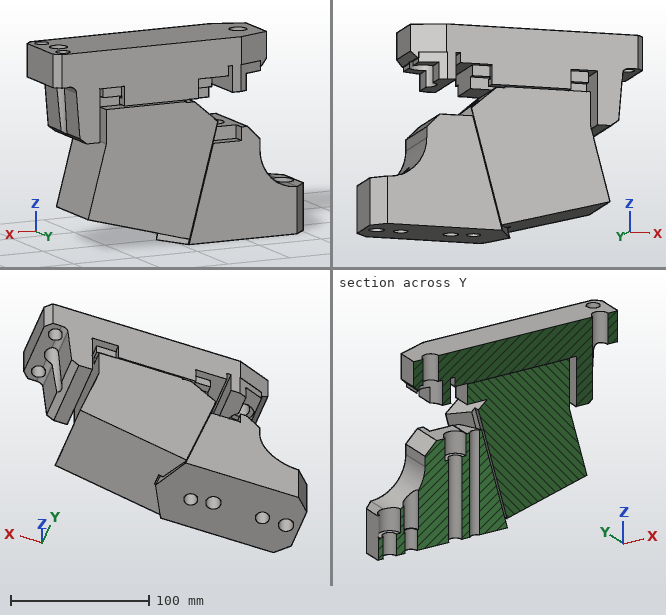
import cadquery as cq
import math

WIDTH = 52.0
TILT = math.radians(15)
SLOPE_FOOT_X = 97.4

VEE_HALF_WIDTH = 25.2
VEE_APEX = 13.1
SLIDE_GAP = 0.5
RELIEF_HALF_WIDTH = 4.3
RELIEF_DEPTH = 14.4

BASE_HEIGHT = 83.2
TOE_HEIGHT = 35.0
TOE_CHAMFER = 10.0
SWEEP_RADIUS = 30.0
SHOULDER_CHAMFER = 10.0
SCREW_HOLE = 11.0
SCREW_HEAD = 17.6
SCREW_HEAD_DEPTH = 17.6
REAR_SCREW_X = 66.2
TAPPED_X = 28.3
TAPPED_DIAMETER = 12.0
TAPPED_CORE = 10.2
TAPPED_END_Z = 16.5
RIDGE_HOLE_X = 82.6
RIDGE_HOLE_Y = -2.9
RIDGE_HOLE = 10.0
RIDGE_DROP = 0.5
NOTCH_FRONT_X = 55.0
NOTCH_SIDE_Y = 17.2
NOTCH_DEPTH = 10.0

SLIDER_TOP = 106.2
SLIDER_NOSE_TOP = 105.4
NOSE_STEP_X = 99.5
NOSE_BOTTOM_Z = 89.2
NOSE_CHAMFER_X = 92.9
SLIDER_FOOT_Z = 3.9
SLIDER_BACK_X = 164.2
SLIDER_LENGTH = 85.0
RAIL_FRONT_X = 76.3
RAIL_STEP_Z = 114.0
NECK_WIDTH = 31.2
HEAD_WIDTH = 41.5

HOLDER_FRONT_X = 30.3
HOLDER_BACK_X = 205.0
HOLDER_TOP = 150.0
UNDERSIDE_Z = 122.0
LIP_Z = 125.3
NOSE_CHAMFER = 5.0
FRONT_STEP_X = 36.0
PRONG_FRONT_X = 50.0
PRONG_BACK_X = 62.3
PRONG_BOTTOM = 109.5
SLOT_BACK_X = 65.5
SLOT_TOP = 129.4
CLAW_FRONT_X = 89.5
CLAW_BACK_X = 149.5
CLAW_BOTTOM = 107.5
CLAW_LEDGE_Z = 112.5
CLAW_NECK_GAP = 34.5
CLAW_HEAD_GAP = 42.2
LEG_FRONT_X = 169.5
LEG_BOTTOM = 82.2
LEG_TOE_X = 180.0
LEG_HEEL_X = 185.5
LEG_HEEL_Z = 86.5
LEG_ROOT_X = 188.8
LEG_FILLET = 5.0
FRONT_HALF_WIDTH = 17.0
TAPER = math.radians(20)
TAPER_RELIEF = 0.15
BACK_CHAMFER = 5.0
FRONT_HOLE_X = 45.0
FRONT_HOLE = 13.0
FRONT_BORE = 20.0
CENTRE_HOLE_X = 190.0
CENTRE_HOLE = 13.0
DOWEL_X = 195.0
DOWEL_Y = 17.5
DOWEL = 10.0


def slope_x(z, gap=0):
    """X at height z of a plane lying a gap in front of the base's sliding face."""
    return SLOPE_FOOT_X + gap / math.cos(TILT) - z * math.tan(TILT)


def block(x0, x1, width, z0, z1):
    """Box centred on y = 0."""
    return cq.Workplane("XY").box(x1 - x0, width, z1 - z0, centered=(False, True, False)).translate((x0, 0, z0))


def side_sketch():
    """Side-profile plane on the -Y face of the bodies."""
    return cq.Workplane("XZ", origin=(0, WIDTH / 2, 0))


def upright(x, y, diameter, z0, z1):
    """Vertical cylinder between two heights."""
    return cq.Workplane("XY", origin=(x, y, z0)).circle(diameter / 2).extrude(z1 - z0)


def sliding_plane():
    """Plane across the slide: local x runs to -Y, local y runs into the slider."""
    along = (-math.sin(TILT), 0, math.cos(TILT))
    return cq.Plane(origin=(SLOPE_FOOT_X, 0, 0), xDir=(0, -1, 0), normal=along)


def vee_prism():
    """Straight-footed V that fills the space between base and slider."""
    return (
        cq.Workplane(sliding_plane())
        .moveTo(-VEE_HALF_WIDTH, 0)
        .lineTo(-VEE_HALF_WIDTH, SLIDE_GAP)
        .lineTo(0, VEE_APEX)
        .lineTo(VEE_HALF_WIDTH, SLIDE_GAP)
        .lineTo(VEE_HALF_WIDTH, 0)
        .close()
        .extrude(SLIDER_TOP, both=True)
    )


def crest_slot():
    """Slot along the bottom of the slider's groove."""
    return (
        cq.Workplane(sliding_plane())
        .center(0, RELIEF_DEPTH / 2)
        .rect(2 * RELIEF_HALF_WIDTH, RELIEF_DEPTH)
        .extrude(SLIDER_TOP, both=True)
    )


def make_base():
    """Block with a concave sweep and a V ridge on its leaning face."""
    wall_x = TOE_CHAMFER + SWEEP_RADIUS
    arc_mid = SWEEP_RADIUS * math.sqrt(0.5)
    sweep_top = TOE_HEIGHT + SWEEP_RADIUS
    body = (
        side_sketch()
        .moveTo(0, 0)
        .lineTo(0, TOE_HEIGHT)
        .lineTo(TOE_CHAMFER, TOE_HEIGHT)
        .threePointArc((TOE_CHAMFER + arc_mid, sweep_top - arc_mid), (wall_x, sweep_top))
        .lineTo(wall_x, BASE_HEIGHT - SHOULDER_CHAMFER)
        .lineTo(wall_x + SHOULDER_CHAMFER, BASE_HEIGHT)
        .lineTo(slope_x(BASE_HEIGHT), BASE_HEIGHT)
        .lineTo(SLOPE_FOOT_X, 0)
        .close()
        .extrude(WIDTH)
        .edges("|Z and <X")
        .chamfer(TOE_CHAMFER)
    )
    ridge = vee_prism().intersect(block(0, HOLDER_BACK_X, WIDTH, 0, BASE_HEIGHT - RIDGE_DROP))
    body = body.union(ridge)

    notch_bottom = BASE_HEIGHT - NOTCH_DEPTH
    notch = block(NOTCH_FRONT_X, HOLDER_BACK_X, WIDTH, notch_bottom, BASE_HEIGHT)
    body = body.cut(notch.translate((0, NOTCH_SIDE_Y + WIDTH / 2, 0)))

    for x, top in ((TOE_CHAMFER, TOE_HEIGHT), (REAR_SCREW_X, BASE_HEIGHT)):
        body = body.cut(upright(x, 0, SCREW_HOLE, 0, top))
        body = body.cut(upright(x, 0, SCREW_HEAD, top - SCREW_HEAD_DEPTH, BASE_HEIGHT))

    body = body.cut(upright(TAPPED_X, 0, TAPPED_CORE, 0, sweep_top))
    body = body.cut(upright(TAPPED_X, 0, TAPPED_DIAMETER, TAPPED_END_Z, sweep_top))

    return body.cut(upright(RIDGE_HOLE_X, RIDGE_HOLE_Y, RIDGE_HOLE, 0, BASE_HEIGHT))


def make_slider():
    """Tilted block that rides on the ridge and hangs from the holder by a T-rail."""
    foot_x = slope_x(SLIDER_FOOT_Z, SLIDE_GAP)
    heel_x = foot_x + SLIDER_LENGTH * math.cos(TILT)
    heel_z = SLIDER_FOOT_Z + SLIDER_LENGTH * math.sin(TILT)
    knee_z = heel_z + (heel_x - SLIDER_BACK_X) / math.tan(TILT)
    body = (
        side_sketch()
        .moveTo(foot_x, SLIDER_FOOT_Z)
        .lineTo(slope_x(NOSE_BOTTOM_Z, SLIDE_GAP), NOSE_BOTTOM_Z)
        .lineTo(NOSE_CHAMFER_X, SLIDER_NOSE_TOP)
        .lineTo(NOSE_STEP_X, SLIDER_NOSE_TOP)
        .lineTo(NOSE_STEP_X, SLIDER_TOP)
        .lineTo(SLIDER_BACK_X, SLIDER_TOP)
        .lineTo(SLIDER_BACK_X, knee_z)
        .lineTo(heel_x, heel_z)
        .close()
        .extrude(WIDTH)
        .cut(vee_prism())
        .cut(crest_slot())
    )
    neck = block(RAIL_FRONT_X, SLIDER_BACK_X, NECK_WIDTH, SLIDER_NOSE_TOP, RAIL_STEP_Z)
    head = block(RAIL_FRONT_X, SLIDER_BACK_X, HEAD_WIDTH, RAIL_STEP_Z, UNDERSIDE_Z)
    return body.union(neck).union(head)


def holder_profile():
    """Side profile of the holder, with nose, prong, claws and leg, at full width."""
    return (
        side_sketch()
        .moveTo(HOLDER_FRONT_X, HOLDER_TOP)
        .lineTo(HOLDER_FRONT_X, LIP_Z + NOSE_CHAMFER)
        .lineTo(HOLDER_FRONT_X + NOSE_CHAMFER, LIP_Z)
        .lineTo(FRONT_STEP_X, LIP_Z)
        .lineTo(FRONT_STEP_X, UNDERSIDE_Z)
        .lineTo(PRONG_FRONT_X, UNDERSIDE_Z)
        .lineTo(PRONG_FRONT_X, PRONG_BOTTOM)
        .lineTo(PRONG_BACK_X, PRONG_BOTTOM)
        .lineTo(PRONG_BACK_X, SLOT_TOP)
        .lineTo(SLOT_BACK_X, SLOT_TOP)
        .lineTo(SLOT_BACK_X, UNDERSIDE_Z)
        .lineTo(CLAW_FRONT_X, UNDERSIDE_Z)
        .lineTo(CLAW_FRONT_X, CLAW_BOTTOM)
        .lineTo(CLAW_BACK_X, CLAW_BOTTOM)
        .lineTo(CLAW_BACK_X, UNDERSIDE_Z)
        .lineTo(LEG_FRONT_X, UNDERSIDE_Z)
        .lineTo(LEG_FRONT_X, LEG_BOTTOM)
        .lineTo(LEG_TOE_X, LEG_BOTTOM)
        .lineTo(LEG_HEEL_X, LEG_HEEL_Z)
        .lineTo(LEG_ROOT_X, LIP_Z)
        .lineTo(HOLDER_BACK_X, LIP_Z)
        .lineTo(HOLDER_BACK_X, HOLDER_TOP)
        .close()
        .extrude(WIDTH)
        .edges(cq.selectors.NearestToPointSelector((LEG_ROOT_X, 0, LIP_Z)))
        .fillet(LEG_FILLET)
    )


def tapered_prism(front_half_width):
    """Full-height prism with the plan outline of the holder."""
    half = WIDTH / 2
    taper_end_x = HOLDER_FRONT_X + (half - front_half_width) / math.tan(TAPER)
    return (
        cq.Workplane("XY")
        .polyline([
            (HOLDER_FRONT_X, -front_half_width),
            (taper_end_x, -half),
            (HOLDER_BACK_X, -half),
            (HOLDER_BACK_X, half),
            (taper_end_x, half),
            (HOLDER_FRONT_X, front_half_width),
        ])
        .close()
        .extrude(HOLDER_TOP)
        .edges("|Z and >X")
        .chamfer(BACK_CHAMFER)
    )


def make_holder():
    """Top plate with the T-slot that carries the slider."""
    body = holder_profile()
    outline = tapered_prism(FRONT_HALF_WIDTH)
    body = body.intersect(outline)

    side_strips = outline.cut(tapered_prism(FRONT_HALF_WIDTH - TAPER_RELIEF))
    body = body.cut(side_strips.intersect(block(FRONT_STEP_X, SLOT_BACK_X, WIDTH, 0, SLOT_TOP)))

    body = body.cut(block(CLAW_FRONT_X, CLAW_BACK_X, CLAW_NECK_GAP, CLAW_BOTTOM, CLAW_LEDGE_Z))
    body = body.cut(block(CLAW_FRONT_X, CLAW_BACK_X, CLAW_HEAD_GAP, CLAW_LEDGE_Z, UNDERSIDE_Z))

    body = body.cut(upright(FRONT_HOLE_X, 0, FRONT_HOLE, 0, HOLDER_TOP))
    body = body.cut(upright(FRONT_HOLE_X, 0, FRONT_BORE, 0, SLOT_TOP))

    body = body.cut(upright(CENTRE_HOLE_X, 0, CENTRE_HOLE, LEG_BOTTOM, HOLDER_TOP))
    for y in (-DOWEL_Y, DOWEL_Y):
        body = body.cut(upright(DOWEL_X, y, DOWEL, LEG_BOTTOM, HOLDER_TOP))
    return body


base = make_base().solids()
slider = make_slider().solids()
holder = make_holder().solids()

result = cq.Compound.makeCompound([base.val(), slider.val(), holder.val()])